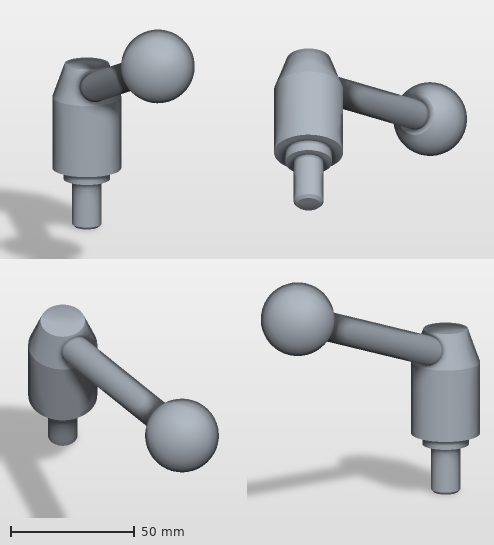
import cadquery as cq
import math

stud_diameter = 12.0
stud_length = 20.0
stud_chamfer = 1.2
collar_diameter = 19.0
collar_height = 4.5
hub_diameter = 28.0
hub_height = 30.0
cone_top_diameter = 18.0
cone_height = 14.0

overall_length = 129.7
overall_height = 109.0
rod_diameter = 12.0
rod_angle = 20.0
ball_diameter = 30.0
ball_flat_diameter = 16.3

ball_radius = ball_diameter / 2
ball_x = overall_length - hub_diameter / 2 - ball_radius
ball_z = overall_height - ball_radius
rod_direction = cq.Vector(math.cos(math.radians(rod_angle)), 0, math.sin(math.radians(rod_angle)))
rod_length = ball_x / rod_direction.x


def make_body():
    """Revolve the stud, collar and tapered hub about the Z axis."""
    stud_radius = stud_diameter / 2
    collar_top = stud_length + collar_height
    cone_base = collar_top + hub_height
    hub_top = cone_base + cone_height
    profile = [
        (0, 0),
        (stud_radius - stud_chamfer, 0),
        (stud_radius, stud_chamfer),
        (stud_radius, stud_length),
        (collar_diameter / 2, stud_length),
        (collar_diameter / 2, collar_top),
        (hub_diameter / 2, collar_top),
        (hub_diameter / 2, cone_base),
        (cone_top_diameter / 2, hub_top),
        (0, hub_top),
    ]
    return cq.Workplane("XZ").polyline(profile).close().revolve(360, (0, 0), (0, 1))


def make_lever():
    """Revolve the rod and flat-faced ball about the inclined lever axis."""
    rod_radius = rod_diameter / 2
    flat_radius = ball_flat_diameter / 2
    flat_offset = math.sqrt(ball_radius**2 - flat_radius**2)
    lever_plane = cq.Plane(origin=(ball_x, 0, ball_z), xDir=rod_direction, normal=(0, -1, 0))
    return (
        cq.Workplane(lever_plane)
        .moveTo(-rod_length, 0)
        .lineTo(-rod_length, rod_radius)
        .lineTo(-flat_offset, rod_radius)
        .lineTo(-flat_offset, flat_radius)
        .threePointArc((0, ball_radius), (ball_radius, 0))
        .close()
        .revolve(360, (0, 0), (1, 0))
    )


result = make_body().union(make_lever())